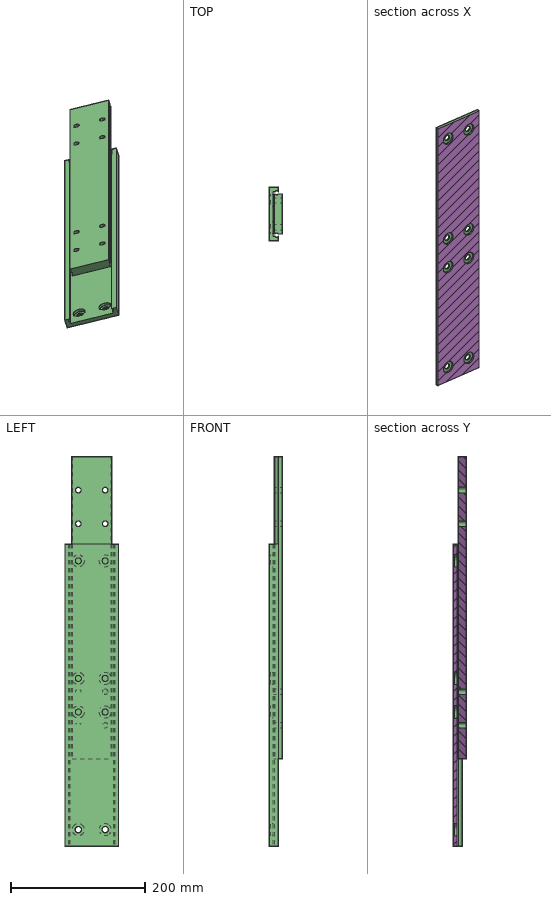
import cadquery as cq

overall_depth = 20.0
member_length = 450.0
extension = 130.25

rail_width = 80.0
rail_depth = 14.0
channel_floor = 6.0
side_clearance = 1.0
relief_width = 2.5
relief_depth = 2.0

slider_width = 60.0
slider_back = 7.5

track_radius = 3.0
track_x = 11.3
track_y = 31.5

hole_column_spacing = 40.0
rail_hole_diameter = 9.0
rail_screw_ledge = 2.0
rail_counterbore_diameter = 18.0
rail_end_to_hole = 25.0
rail_middle_hole_spacing = 50.0
slider_hole_diameter = 8.0
slider_end_to_hole = 50.0
slider_hole_pitch = 50.0

rail_hole_heights = [
    rail_end_to_hole,
    (member_length - rail_middle_hole_spacing) / 2,
    (member_length + rail_middle_hole_spacing) / 2,
    member_length - rail_end_to_hole,
]
slider_hole_heights = [
    slider_end_to_hole,
    slider_end_to_hole + slider_hole_pitch,
    member_length - slider_end_to_hole - slider_hole_pitch,
    member_length - slider_end_to_hole,
]


def bar(x_start, x_end, width):
    """Full-length bar between two X positions, centred on Y and standing on Z = 0."""
    depth = x_end - x_start
    return (
        cq.Workplane("XY")
        .center(x_start + depth / 2, 0)
        .rect(depth, width)
        .extrude(member_length)
    )


def ball_tracks():
    """The two round tracks that run along the edges of the slider."""
    edges = [(track_x, side * track_y) for side in (-1, 1)]
    return cq.Workplane("XY").pushPoints(edges).circle(track_radius).extrude(member_length)


def mounting_holes(diameter, heights, start=0.0):
    """Two columns of drills along +X that run from the start position to the far face."""
    places = [(side * hole_column_spacing / 2, z) for side in (-1, 1) for z in heights]
    return (
        cq.Workplane("YZ", origin=(start, 0, 0))
        .pushPoints(places)
        .circle(diameter / 2)
        .extrude(overall_depth - start)
    )


def make_rail():
    channel_width = slider_width + 2 * side_clearance
    channel = bar(channel_floor, rail_depth, channel_width)
    relief = bar(channel_floor, channel_floor + relief_width, channel_width + 2 * relief_depth)
    return (
        bar(0, rail_depth, rail_width)
        .cut(channel)
        .cut(relief)
        .cut(ball_tracks())
        .cut(mounting_holes(rail_hole_diameter, rail_hole_heights))
        .cut(mounting_holes(rail_counterbore_diameter, rail_hole_heights, rail_screw_ledge))
    )


def make_slider():
    return (
        bar(slider_back, overall_depth, slider_width)
        .cut(ball_tracks())
        .cut(mounting_holes(slider_hole_diameter, slider_hole_heights))
        .translate((0, 0, extension))
    )


rail = make_rail()
slider = make_slider()
result = cq.Compound.makeCompound([rail.val(), slider.val()])